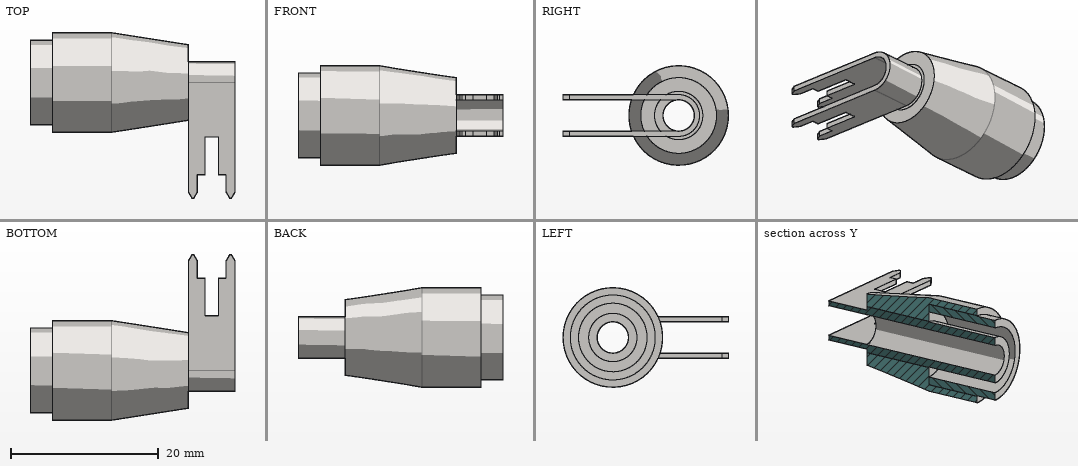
import cadquery as cq

total_length = 27.7
nose_length = 3.0
taper_start = 11.0
housing_end = 21.35
recess_depth = taper_start

housing_diameter = 13.5
housing_end_diameter = 10.25
sleeve_diameter = 11.5
sleeve_bore = 9.28
contact_diameter = 6.55
contact_bore = 4.2

sheet_thickness = 0.72
terminal_reach = 15.65
slot_start = 7.4
shoulder_reach = 12.5
tip_taper_length = 0.85
slot_width = 1.77
pin_width = 1.25
tip_width = 0.25

terminal_length = total_length - housing_end
terminal_diameter = contact_bore + 2 * sheet_thickness


def cylinder(diameter, start, end):
    """Cylinder about the X axis between two X positions."""
    return cq.Workplane("YZ", origin=(start, 0, 0)).circle(diameter / 2).extrude(end - start)


def make_housing():
    """Tapered outer shell, bored for the sleeve and the contact tube."""
    profile = [
        (nose_length, 0),
        (nose_length, housing_diameter / 2),
        (taper_start, housing_diameter / 2),
        (housing_end, housing_end_diameter / 2),
        (housing_end, 0),
    ]
    shell = cq.Workplane("XY").polyline(profile).close().revolve(360, (0, 0, 0), (1, 0, 0))
    sleeve_seat = cylinder(sleeve_diameter, nose_length, recess_depth)
    contact_seat = cylinder(contact_diameter, nose_length, housing_end)
    return shell.cut(sleeve_seat).cut(contact_seat)


def make_sleeve():
    """Plain tube seated against the floor of the housing recess."""
    return cylinder(sleeve_diameter, 0, recess_depth).cut(cylinder(sleeve_bore, 0, recess_depth))


def leg_outline():
    """Flat leg shape: a plate with a stepped slot between two pointed pins."""
    middle = housing_end + terminal_length / 2
    pin_center = (terminal_length - pin_width) / 2
    tip_inner = pin_center - tip_width / 2
    tip_outer = pin_center + tip_width / 2
    half = [
        (slot_width / 2, -slot_start),
        (slot_width / 2, -shoulder_reach),
        (terminal_length / 2 - pin_width, -shoulder_reach),
        (terminal_length / 2 - pin_width, tip_taper_length - terminal_reach),
        (tip_inner, -terminal_reach),
        (tip_outer, -terminal_reach),
        (terminal_length / 2, tip_taper_length - terminal_reach),
        (terminal_length / 2, 0),
    ]
    right = [(middle + x, y) for x, y in half]
    left = [(middle - x, y) for x, y in reversed(half)]
    return right + left


def make_contact():
    """Contact tube with the U-shaped terminal joined to its rear end."""
    tube = cylinder(contact_diameter, 0, housing_end)
    bend = cylinder(terminal_diameter, housing_end, total_length)
    positive_y_half = cq.Workplane("XY").box(
        total_length, terminal_diameter, terminal_diameter, centered=(False, False, True)
    )
    bend = bend.intersect(positive_y_half)
    contact = tube.union(bend).cut(cylinder(contact_bore, 0, total_length))
    for leg_bottom in (contact_bore / 2, -terminal_diameter / 2):
        leg = cq.Workplane("XY", origin=(0, 0, leg_bottom)).polyline(leg_outline()).close()
        contact = contact.union(leg.extrude(sheet_thickness))
    return contact


housing = make_housing()
sleeve = make_sleeve()
contact = make_contact()

result = cq.Compound.makeCompound([housing.solids().val(), sleeve.solids().val(), contact.solids().val()])